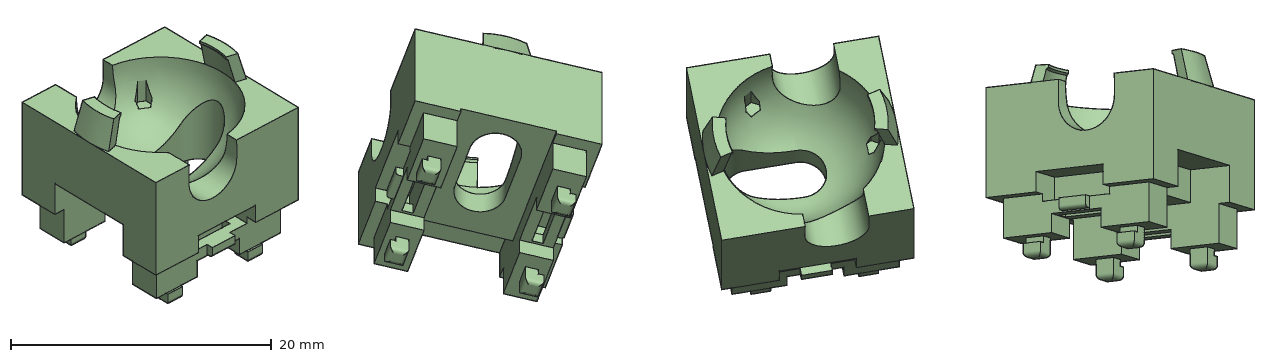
import cadquery as cq
import math

body_side = 15.0
body_height = 8.6
finger_height = 2.59
leg_height = 3.1
pin_height = 1.6

socket_radius = 6.5
drain_radius = 2.02
drain_length = 3.99

channel_radius = 2.51
channel_y = -1.5
channel_axis_depth = 1.7
channel_lip_height = 0.41
channel_lip_inset = 0.03

pocket_count = 3
pocket_pitch_radius = 5.63
pocket_corner_radius = 0.67
pocket_depth = 3.81

finger_angle = 30
finger_tip_outer_radius = 6.75
finger_neck_radius = 5.91
finger_neck_height = 2.22
finger_lip_radius = 5.72
finger_lip_height = 2.37

leg_inset = 0.97
leg_gap = 7.66
gap_height = 0.32
front_recess_height = 2.88
front_recess_depth = 3.51
leg_notch_width = 4.43
leg_notch_height = 1.5

window_width = 6.0
window_rise = 1.59
window_drop = 0.57
window_depth = 2.73
latch_slot_width = 2 * drain_radius
latch_slot_thickness = 0.89

tab_width = 2.4
tab_height = 0.92
tab_projection = 0.59
tab_fillet = 0.27

pin_width = 1.55
pin_y = 4.21
pin_inner_x = 4.67
pin_stem_thickness = 1.03
pin_foot_thickness = 1.5
pin_neck_height = 0.51
pin_fillet = 0.4

half_side = body_side / 2
body_bottom = -body_height
leg_bottom = body_bottom - leg_height
pin_bottom = leg_bottom - pin_height
leg_outer = half_side - leg_inset
leg_inner = leg_gap / 2
window_sill = body_bottom - window_drop


def box(x_range, y_range, z_range):
    """Axis-aligned block between the given limits."""
    size = [high - low for low, high in (x_range, y_range, z_range)]
    block = cq.Workplane("XY").box(*size, centered=False)
    return block.translate((x_range[0], y_range[0], z_range[0]))


def centred(width):
    return (-width / 2, width / 2)


def make_socket():
    ball = cq.Workplane("XY").sphere(socket_radius)
    drain = (
        cq.Workplane("XY", origin=(0, drain_length / 2, 0))
        .slot2D(drain_length + 2 * drain_radius, 2 * drain_radius, 90)
        .extrude(-body_height)
    )
    return ball.union(drain)


def make_channel():
    lip_half_width = channel_radius - channel_lip_inset
    return (
        cq.Workplane("YZ", origin=(-half_side, channel_y, 0))
        .moveTo(-lip_half_width, 0)
        .lineTo(-channel_radius, -channel_lip_height)
        .lineTo(-channel_radius, -channel_axis_depth)
        .threePointArc((0, -channel_axis_depth - channel_radius), (channel_radius, -channel_axis_depth))
        .lineTo(channel_radius, -channel_lip_height)
        .lineTo(lip_half_width, 0)
        .close()
        .extrude(body_side)
    )


def make_socket_pockets():
    first_pocket = (
        cq.Workplane("XY", origin=(0, -pocket_pitch_radius, 0))
        .polygon(6, 2 * pocket_corner_radius)
        .extrude(-pocket_depth)
    )
    pockets = first_pocket
    for index in range(1, pocket_count):
        turn = index * 360 / pocket_count
        pockets = pockets.union(first_pocket.rotate((0, 0, 0), (0, 0, 1), turn))
    return pockets


def make_finger():
    """Finger on the +Y side: an inward-leaning profile with a lip, swept about Z."""
    profile = [
        (socket_radius, 0),
        (half_side, 0),
        (finger_tip_outer_radius, finger_height),
        (finger_lip_radius, finger_height),
        (finger_lip_radius, finger_lip_height),
        (finger_neck_radius, finger_neck_height),
    ]
    swept = cq.Workplane("XZ").polyline(profile).close().revolve(finger_angle, (0, 0), (0, 1))
    centre = swept.val().Center()
    sweep_direction = math.degrees(math.atan2(centre.y, centre.x))
    return swept.rotate((0, 0, 0), (0, 0, 1), 90 - sweep_direction)


def make_leg():
    """Leg plate on the +X side, notched in the middle of its lower edge."""
    leg = box((leg_inner, leg_outer), (-leg_outer, leg_outer), (leg_bottom, body_bottom))
    notch = box(
        (leg_inner, leg_outer),
        centred(leg_notch_width),
        (leg_bottom, leg_bottom + leg_notch_height),
    )
    return leg.cut(notch)


def make_window():
    """Window and latch slot on the +X side."""
    window_top = body_bottom + window_rise
    window_back = half_side - window_depth
    window = box((window_back, half_side), centred(window_width), (window_sill, window_top))
    latch_slot = box(
        (window_back, window_back + latch_slot_thickness),
        centred(latch_slot_width),
        (leg_bottom, window_sill),
    )
    return window.union(latch_slot)


def make_tab():
    """Latch tab on the +X side."""
    tab = box(
        (leg_outer, leg_outer + tab_projection),
        centred(tab_width),
        (window_sill - tab_height, window_sill),
    )
    return tab.edges(">X and <Z").fillet(tab_fillet)


def make_pin(y):
    """Hooked pin under the +X leg."""
    y_range = (y - pin_width / 2, y + pin_width / 2)
    foot_top = leg_bottom - pin_neck_height
    stem = box((pin_inner_x, pin_inner_x + pin_stem_thickness), y_range, (foot_top, leg_bottom))
    foot = box((pin_inner_x, pin_inner_x + pin_foot_thickness), y_range, (pin_bottom, foot_top))
    return stem.union(foot.faces("<Z").edges().fillet(pin_fillet))


body = box(centred(body_side), centred(body_side), (body_bottom, 0))
body = body.cut(box(centred(leg_gap), centred(body_side), (body_bottom, body_bottom + gap_height)))
body = body.cut(
    box(
        centred(leg_gap),
        (-half_side, -half_side + front_recess_depth),
        (body_bottom, body_bottom + front_recess_height),
    )
)
body = body.cut(make_socket()).cut(make_channel()).cut(make_socket_pockets())

finger = make_finger()
body = body.union(finger).union(finger.mirror("XZ"))

leg = make_leg().union(make_pin(pin_y)).union(make_pin(-pin_y))
body = body.union(leg).union(leg.mirror("YZ"))
window = make_window()
body = body.cut(window).cut(window.mirror("YZ"))
tab = make_tab()
result = body.union(tab).union(tab.mirror("YZ"))